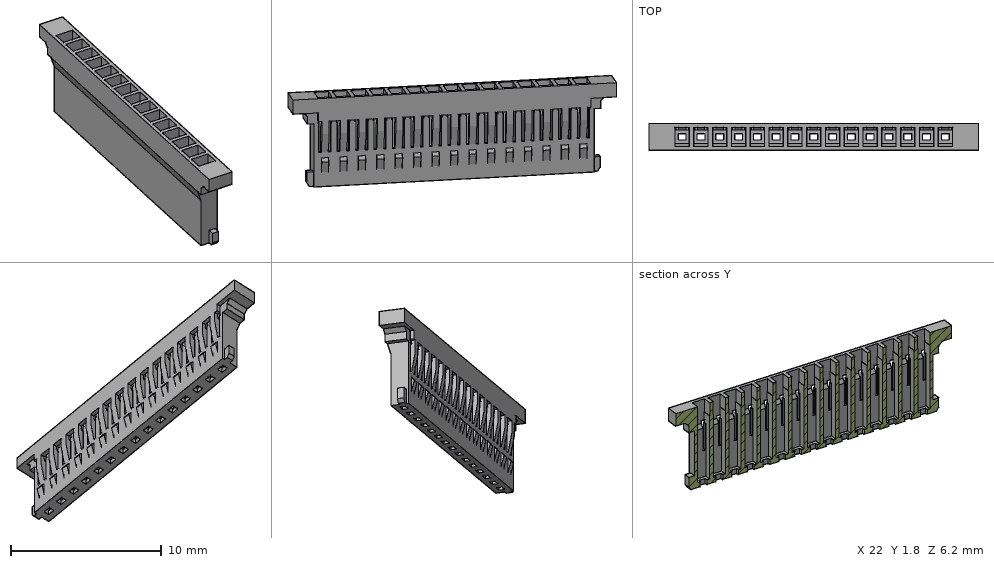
import cadquery as cq

length = 21.97
depth = 1.8
height = 6.2

body_length = 19.03
body_depth = 1.27

flange_thickness = 0.99
shoulder_length = 19.9
shoulder_thickness = 0.81
shoulder_chamfer = 0.29
front_taper_height = 0.8

cell_count = 15
cell_pitch = 1.25
cell_width = 0.92
mouth_width = 0.97
mouth_depth = body_depth
cell_step = 0.2
floor_thickness = 0.4
hole_width = 0.5
hole_depth = 0.4

lance_width = 0.48
lance_window_width = 0.81
lance_bottom = 2.4
lance_taper_height = 1.32
lance_cover_bottom = 4.6
lance_lead_height = 0.29

catch_bottom = 0.99
catch_height = 1.0
catch_peak = 0.77
catch_reach = 0.2

tab_height = 1.0
tab_front = 0.0
tab_back = 0.46
tab_chamfer_side = 0.18
tab_chamfer_height = 0.26

front = -depth / 2
back = depth / 2
body_front = -body_depth / 2
body_back = body_depth / 2
flange_bottom = height - flange_thickness
shoulder_bottom = flange_bottom - shoulder_thickness
taper_bottom = shoulder_bottom - front_taper_height
tab_reach = shoulder_length / 2
cell_span = (cell_count - 1) * cell_pitch + mouth_width
mouth_front = -mouth_depth / 2
mouth_back = mouth_depth / 2
cell_centres = [(i - (cell_count - 1) / 2) * cell_pitch for i in range(cell_count)]


def block(x_size, y_min, y_max, z_min, z_max, x_centre=0.0):
    """Rectangular block centred on x_centre."""
    return (
        cq.Workplane("XY")
        .box(x_size, y_max - y_min, z_max - z_min, centered=(True, False, False))
        .translate((x_centre, y_min, z_min))
    )


def side_prism(points, x_size, x_centre=0.0):
    """Extrude a (Y, Z) outline along X, centred on x_centre."""
    start = x_centre - x_size / 2
    return cq.Workplane("YZ", origin=(start, 0, 0)).polyline(points).close().extrude(x_size)


def make_flange():
    """Slab of the full outer size along X and Y."""
    return block(length, front, back, flange_bottom, height)


def make_shoulder():
    half = shoulder_length / 2
    outline = [
        (-half - shoulder_chamfer, flange_bottom),
        (half + shoulder_chamfer, flange_bottom),
        (half, flange_bottom - shoulder_chamfer),
        (half, shoulder_bottom),
        (-half, shoulder_bottom),
        (-half, flange_bottom - shoulder_chamfer),
    ]
    plane = cq.Workplane("XZ", origin=(0, body_back, 0))
    return plane.polyline(outline).close().extrude(body_back - front)


def make_body():
    outline = [
        (body_front, 0),
        (body_back, 0),
        (body_back, flange_bottom),
        (front, flange_bottom),
        (front, shoulder_bottom),
        (body_front, taper_bottom),
    ]
    return side_prism(outline, body_length)


def make_tabs():
    outline = [
        (-tab_reach, tab_height),
        (tab_reach, tab_height),
        (tab_reach, tab_chamfer_height),
        (tab_reach - tab_chamfer_side, 0),
        (tab_chamfer_side - tab_reach, 0),
        (-tab_reach, tab_chamfer_height),
    ]
    plane = cq.Workplane("XZ", origin=(0, tab_back, 0))
    return plane.polyline(outline).close().extrude(tab_back - tab_front)


def make_back_wall():
    """Back wall joining the upper ends of the lances."""
    return block(cell_span, body_back, back, lance_cover_bottom, flange_bottom)


def make_cell(x_centre):
    """Cell cavity, stepped in at the front and back, with its floor opening."""
    outline = [
        (mouth_front, height),
        (mouth_front, shoulder_bottom),
        (mouth_front + cell_step, taper_bottom),
        (mouth_front + cell_step, floor_thickness),
        (mouth_back - cell_step, floor_thickness),
        (mouth_back - cell_step, shoulder_bottom),
        (mouth_back, shoulder_bottom),
        (mouth_back, height),
    ]
    hole = block(hole_width, -hole_depth / 2, hole_depth / 2, 0, floor_thickness, x_centre)
    mouth = block(mouth_width, mouth_front, mouth_back, flange_bottom, height, x_centre)
    return side_prism(outline, cell_width, x_centre).union(mouth).union(hole)


def make_lance_rib(x_centre):
    """Outer face of a lance: straight at the top, tapering into the body."""
    outline = [
        (body_back, lance_cover_bottom),
        (back, lance_cover_bottom),
        (back, lance_bottom + lance_taper_height),
        (body_back, lance_bottom),
    ]
    return side_prism(outline, lance_width, x_centre)


def make_lance_lead(x_centre):
    """Sloped relief cut leading down onto the inner face of a lance."""
    outline = [
        (mouth_back - cell_step, shoulder_bottom),
        (mouth_back, shoulder_bottom),
        (mouth_back - cell_step, shoulder_bottom - lance_lead_height),
    ]
    return side_prism(outline, lance_width, x_centre)


def make_lance_slots(x_centre):
    """Two slots through the back wall that free the sides of a lance."""
    slot_width = (lance_window_width - lance_width) / 2
    offset = (lance_window_width - slot_width) / 2
    y_min = mouth_back - cell_step
    left = block(slot_width, y_min, body_back, lance_bottom, shoulder_bottom, x_centre - offset)
    right = block(slot_width, y_min, body_back, lance_bottom, shoulder_bottom, x_centre + offset)
    return left.union(right)


def make_catch(x_centre):
    outline = [
        (body_back, catch_bottom),
        (body_back + catch_reach, catch_bottom + catch_peak),
        (body_back, catch_bottom + catch_height),
    ]
    return side_prism(outline, lance_width, x_centre)


result = make_flange().union(make_shoulder()).union(make_body())
result = result.union(make_tabs()).union(make_back_wall())
for centre in cell_centres:
    result = result.union(make_lance_rib(centre)).union(make_catch(centre))
for centre in cell_centres:
    result = result.cut(make_cell(centre)).cut(make_lance_lead(centre)).cut(make_lance_slots(centre))